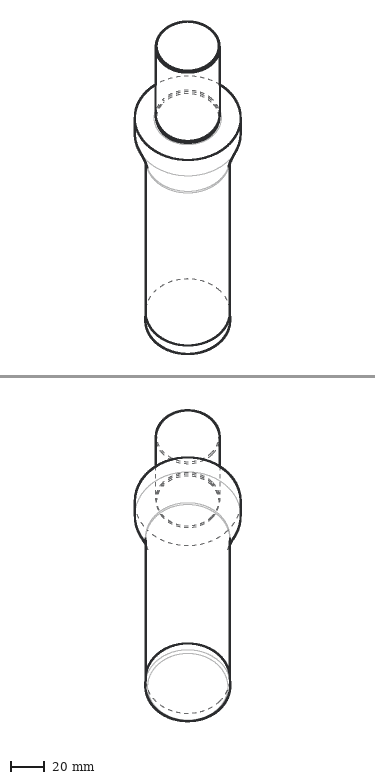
import cadquery as cq


total_length = 269.24

shank_length = 70.0
shank_radius = 19.05
shank_chamfer = 1.2
shank_chamfer_inset = 0.6

neck_radius = 18.5
neck_height = 1.6
neck_shoulder_height = 0.8
relief_radius = 20.0
relief_depth = 0.3

flange_radius = 31.5
flange_thickness = 15.5
flare_length = 23.4
flare_end_radius = 25.12
flare_sag = 0.35
body_radius = 25.0
body_blend_length = 1.7

tip_length = 10.1
tip_radius = 25.42
point_height = 1.2
rim_fillet_radius = 1.6

flange_top_z = total_length - shank_length
flange_bottom_z = flange_top_z - flange_thickness
flare_end_z = flange_bottom_z - flare_length
body_top_z = flare_end_z - body_blend_length
neck_top_z = flange_top_z + neck_height
relief_bottom_z = flange_top_z - relief_depth


def make_holder():
    """Shank, relief, flange, flare and cylindrical body as one turned solid."""
    flare_middle = (
        (flange_radius + flare_end_radius) / 2 - flare_sag,
        (flange_bottom_z + flare_end_z) / 2,
    )
    return (
        cq.Workplane("XZ")
        .moveTo(0, tip_length)
        .lineTo(body_radius, tip_length)
        .lineTo(body_radius, body_top_z)
        .lineTo(flare_end_radius, flare_end_z)
        .threePointArc(flare_middle, (flange_radius, flange_bottom_z))
        .lineTo(flange_radius, flange_top_z)
        .lineTo(relief_radius, flange_top_z)
        .lineTo(neck_radius, relief_bottom_z)
        .lineTo(neck_radius, neck_top_z)
        .lineTo(shank_radius, neck_top_z + neck_shoulder_height)
        .lineTo(shank_radius, total_length - shank_chamfer)
        .lineTo(shank_radius - shank_chamfer_inset, total_length)
        .lineTo(0, total_length)
        .close()
        .revolve(360, (0, 0, 0), (0, 1, 0))
    )


def make_cutting_tip():
    """Slightly flared tip with a rounded rim and a shallow conical point."""
    sharp_tip = (
        cq.Workplane("XZ")
        .lineTo(tip_radius, point_height)
        .lineTo(body_radius, tip_length)
        .lineTo(0, tip_length)
        .close()
        .revolve(360, (0, 0, 0), (0, 1, 0))
    )
    rim = cq.selectors.RadiusNthSelector(-1)
    return sharp_tip.edges("%CIRCLE").edges(rim).fillet(rim_fillet_radius)


holder = make_holder()
cutting_tip = make_cutting_tip()

result = cq.Compound.makeCompound([holder.val(), cutting_tip.val()])